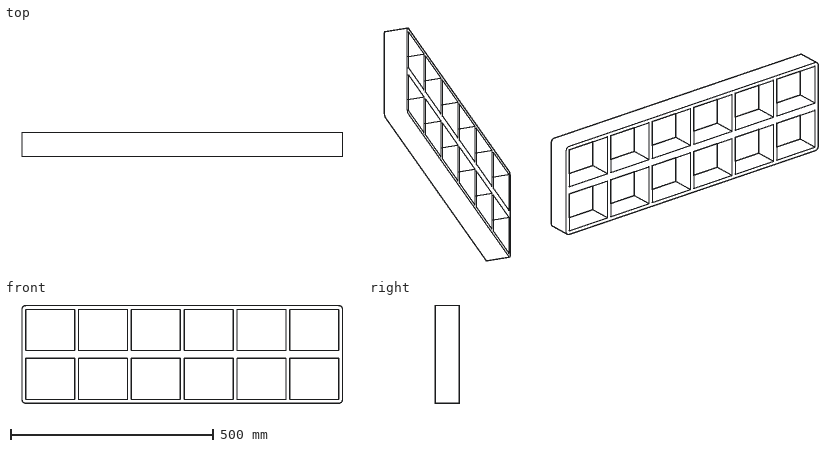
import cadquery as cq

LENGTH = 793.0
DEPTH = 60.0
HEIGHT = 242.0
CORNER_RADIUS = 10.0

COLUMNS = 6
ROWS = 2
WALL = 10.0
MIDDLE_RAIL = 20.0

OPENING_WIDTH = (LENGTH - (COLUMNS + 1) * WALL) / COLUMNS
OPENING_HEIGHT = (HEIGHT - 2 * WALL - (ROWS - 1) * MIDDLE_RAIL) / ROWS
COLUMN_PITCH = OPENING_WIDTH + WALL
ROW_PITCH = OPENING_HEIGHT + MIDDLE_RAIL


def make_block():
    """Solid block with the four corners rounded along the depth."""
    block = cq.Workplane("XY").box(LENGTH, DEPTH, HEIGHT)
    return block.edges("|Y").fillet(CORNER_RADIUS)


def make_openings():
    """Sharp-cornered rectangular prisms, one per cell, spanning the full depth."""
    return (
        cq.Workplane("XZ")
        .rarray(COLUMN_PITCH, ROW_PITCH, COLUMNS, ROWS)
        .rect(OPENING_WIDTH, OPENING_HEIGHT)
        .extrude(DEPTH / 2, both=True)
    )


result = make_block().cut(make_openings())